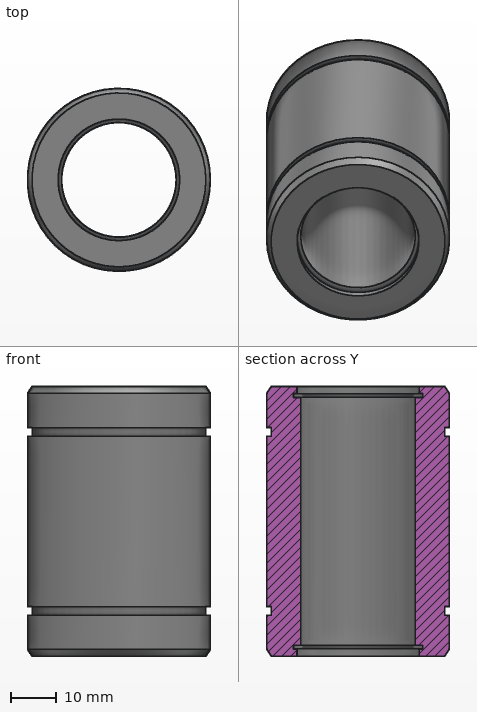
import cadquery as cq

LENGTH = 59.0
OUTER_DIAMETER = 40.0
BORE_DIAMETER = 25.0

CHAMFER_RADIAL = 1.0
CHAMFER_AXIAL = 1.5

RING_GROOVE_DIAMETER = 38.0
RING_GROOVE_WIDTH = 1.85
RING_GROOVE_SPAN = 41.0

LIP_DIAMETER = 26.6
LIP_DEPTH = 1.6
SEAL_GROOVE_DIAMETER = 28.2
RECESS_DEPTH = 2.4


def disc(diameter, bottom, height):
    """Solid cylinder on the Z axis, starting at the given Z level."""
    return cq.Workplane("XY").workplane(offset=bottom).circle(diameter / 2).extrude(height)


def chamfered_body():
    """Solid cylinder centred on the origin, with both outer end edges chamfered."""
    outer_radius = OUTER_DIAMETER / 2
    face_radius = outer_radius - CHAMFER_RADIAL
    half_length = LENGTH / 2
    shoulder = half_length - CHAMFER_AXIAL
    half_section = [
        (0, -half_length),
        (face_radius, -half_length),
        (outer_radius, -shoulder),
        (outer_radius, shoulder),
        (face_radius, half_length),
        (0, half_length),
    ]
    return cq.Workplane("XZ").polyline(half_section).close().revolve(360, (0, 0, 0), (0, 1, 0))


def ring_groove():
    """Ring of material removed for the upper retaining ring groove."""
    bottom = RING_GROOVE_SPAN / 2 - RING_GROOVE_WIDTH
    ring = disc(OUTER_DIAMETER, bottom, RING_GROOVE_WIDTH)
    return ring.cut(disc(RING_GROOVE_DIAMETER, bottom, RING_GROOVE_WIDTH))


def end_recess():
    """Material removed at the upper bore mouth: lip opening and seal groove."""
    top = LENGTH / 2
    lip_opening = disc(LIP_DIAMETER, top - RECESS_DEPTH, RECESS_DEPTH)
    seal_groove = disc(SEAL_GROOVE_DIAMETER, top - RECESS_DEPTH, RECESS_DEPTH - LIP_DEPTH)
    return lip_opening.union(seal_groove)


result = chamfered_body().cut(disc(BORE_DIAMETER, -LENGTH / 2, LENGTH))

for end_cut in (ring_groove(), end_recess()):
    result = result.cut(end_cut).cut(end_cut.mirror("XY"))